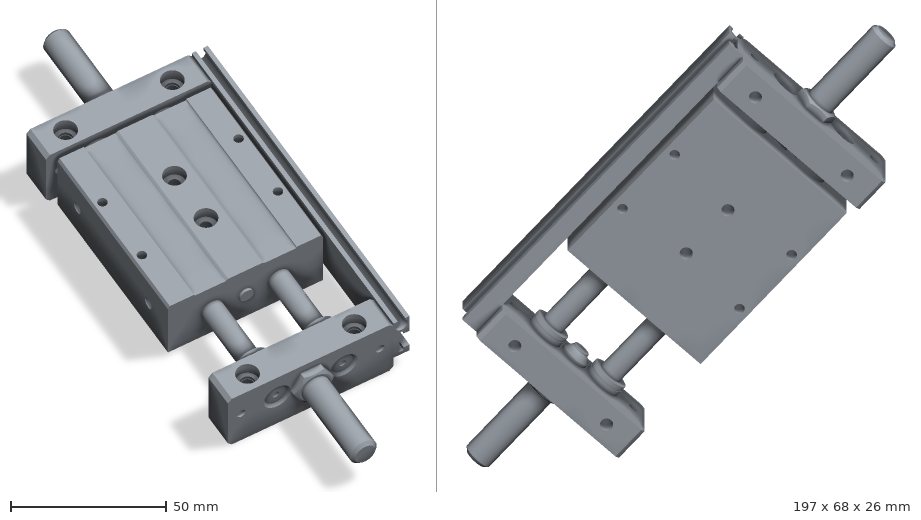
import cadquery as cq
import math


PLATE_OUTER_X = 63.9
PLATE_THICKNESS = 12.4
PLATE_INNER_X = PLATE_OUTER_X - PLATE_THICKNESS
PLATE_CENTRE_X = (PLATE_OUTER_X + PLATE_INNER_X) / 2
PLATE_HALF_WIDTH = 31.0
PLATE_TOP_Z = 10.0
PLATE_BOTTOM_Z = -14.0
PLATE_CHAMFER = 1.5
PLATE_BOLT_Y = 20.0
PLATE_BOLT_DIA = 4.2
PLATE_BOLT_LEAD_DIA = 4.9
PLATE_BOLT_LEAD_DEPTH = 1.0
PLATE_SIDE_HOLE_Y = 26.0
PLATE_SIDE_HOLE_DIA = 3.3

COUNTERBORE_DIA = 8.0
COUNTERBORE_DEPTH = 4.5

ROD_Y = 12.5
ROD_DIA = 8.0
ROD_SEAT_DIA = 10.0
ROD_SEAT_DEPTH = (ROD_SEAT_DIA - ROD_DIA) / 2
ROD_CENTRE_HOLE_DIA = 2.5
ROD_CENTRE_HOLE_DEPTH = 4.0
COLLAR_DIA = 13.0
COLLAR_LENGTH = 4.0
COLLAR_GROOVE_DIA = 12.4
COLLAR_GROOVE_START = 1.8
COLLAR_GROOVE_WIDTH = 0.7

RAIL_OVERHANG = 0.1
RAIL_END_X = PLATE_OUTER_X + RAIL_OVERHANG
RAIL_DEPTH = 6.0
RAIL_INNER_Y = PLATE_HALF_WIDTH
RAIL_OUTER_Y = RAIL_INNER_Y + RAIL_DEPTH
RAIL_TOP_Z = PLATE_TOP_Z
RAIL_BOTTOM_Z = -8.0
RAIL_SLOT_RADIUS = 2.2
RAIL_SLOT_Y = RAIL_INNER_Y + RAIL_DEPTH / 2
RAIL_SLOT_CENTRE_Z = 7.0
RAIL_LIP_THICKNESS = 1.3
RAIL_SLOT_MOUTH = 2.8
RAIL_CHANNEL_TOP_Z = 2.3
RAIL_CHANNEL_BOTTOM_Z = -5.0
RAIL_CHANNEL_UNDERCUT = 1.4
RAIL_CHANNEL_LIP = 2.2
RAIL_WEB = 2.3

HOUSING_LENGTH = 70.0
HOUSING_LEFT_X = COLLAR_LENGTH - PLATE_INNER_X
HOUSING_RIGHT_X = HOUSING_LEFT_X + HOUSING_LENGTH
HOUSING_CENTRE_X = (HOUSING_LEFT_X + HOUSING_RIGHT_X) / 2
HOUSING_HALF_WIDTH = 29.0
HOUSING_TOP_Z = 12.0
HOUSING_BOTTOM_Z = -12.0
HOUSING_EDGE_DROP = 1.2
HOUSING_EDGE_INSET = 0.7
GROOVE_DEPTH = 0.6
GROOVE_OUTER_Y = 19.2
GROOVE_INNER_FLOOR_Y = 7.4
GROOVE_INNER_TOP_Y = 6.4
EDGE_HOLE_DIA = 3.4
EDGE_HOLE_PITCH = 25.0
EDGE_HOLE_Y = 25.5
CENTRE_BOLT_DIA = 4.2
CENTRE_BOLT_PITCH = 20.0
PORT_PITCH = 45.0
PORT_MOUTH_DIA = 4.2
PORT_DEPTH = 5.0
PORT_BORE_DIA = 2.0
PORT_BORE_DEPTH = 8.0
END_STUD_DIA = 5.0
END_STUD_LENGTH = 1.0

STOPPER_DIA = 10.0
STOPPER_OUTER_X = 98.5
STOPPER_END_CHAMFER = 1.2
STOPPER_SHOULDER = 1.1
STOPPER_TIP_DIA = 6.0
STOPPER_CONE_LENGTH = 2.3
STOPPER_TIP_X = PLATE_INNER_X - COLLAR_LENGTH
NUT_ACROSS_FLATS = 13.0
NUT_ACROSS_CORNERS = NUT_ACROSS_FLATS / math.cos(math.pi / 6)
NUT_THICKNESS = 3.0
NUT_BEVEL = 0.9
NUT_BEVEL_FACE_DIA = 12.0


def x_cylinder(diameter, start_x, end_x, y=0.0):
    """Cylinder along X at the height of the stopper axis."""
    return (
        cq.Workplane("YZ", origin=(start_x, y, 0))
        .circle(diameter / 2)
        .extrude(end_x - start_x)
    )


def x_cone(start_dia, end_dia, start_x, end_x, y=0.0):
    """Solid cone frustum along X."""
    base = cq.Vector(start_x, y, 0)
    axis = cq.Vector(1, 0, 0)
    cone = cq.Solid.makeCone(start_dia / 2, end_dia / 2, end_x - start_x, pnt=base, dir=axis)
    return cq.Workplane(cone)


def make_housing():
    edge_z = HOUSING_TOP_Z - HOUSING_EDGE_DROP
    edge_y = HOUSING_HALF_WIDTH - HOUSING_EDGE_INSET
    groove_z = HOUSING_TOP_Z - GROOVE_DEPTH
    half_body = (
        cq.Workplane("YZ", origin=(HOUSING_LEFT_X, 0, 0))
        .moveTo(0, HOUSING_BOTTOM_Z)
        .lineTo(HOUSING_HALF_WIDTH, HOUSING_BOTTOM_Z)
        .lineTo(HOUSING_HALF_WIDTH, edge_z)
        .lineTo(edge_y, HOUSING_TOP_Z)
        .lineTo(GROOVE_OUTER_Y, HOUSING_TOP_Z)
        .radiusArc((GROOVE_OUTER_Y - GROOVE_DEPTH, groove_z), GROOVE_DEPTH)
        .lineTo(GROOVE_INNER_FLOOR_Y, groove_z)
        .lineTo(GROOVE_INNER_TOP_Y, HOUSING_TOP_Z)
        .lineTo(0, HOUSING_TOP_Z)
        .close()
        .extrude(HOUSING_LENGTH)
    )
    body = half_body.union(half_body.mirror("XZ")).clean()

    top = cq.Workplane("XY", origin=(HOUSING_CENTRE_X, 0, HOUSING_TOP_Z))
    height = HOUSING_TOP_Z - HOUSING_BOTTOM_Z
    edge_holes = top.rarray(EDGE_HOLE_PITCH, 2 * EDGE_HOLE_Y, 2, 2).circle(EDGE_HOLE_DIA / 2).extrude(-height)
    bolt_points = top.rarray(CENTRE_BOLT_PITCH, 1, 2, 1)
    bolt_holes = bolt_points.circle(CENTRE_BOLT_DIA / 2).extrude(-height)
    counterbores = bolt_points.circle(COUNTERBORE_DIA / 2).extrude(-COUNTERBORE_DEPTH)
    body = body.cut(edge_holes).cut(bolt_holes).cut(counterbores)

    ports = cq.Workplane("XZ", origin=(HOUSING_CENTRE_X, -HOUSING_HALF_WIDTH, 0)).rarray(PORT_PITCH, 1, 2, 1)
    body = body.cut(ports.circle(PORT_MOUTH_DIA / 2).extrude(-PORT_DEPTH))
    body = body.cut(ports.circle(PORT_BORE_DIA / 2).extrude(-PORT_BORE_DEPTH))

    for rod_y in (-ROD_Y, ROD_Y):
        body = body.cut(x_cylinder(ROD_DIA, HOUSING_LEFT_X, HOUSING_RIGHT_X, rod_y))

    return body.union(x_cylinder(END_STUD_DIA, HOUSING_RIGHT_X, HOUSING_RIGHT_X + END_STUD_LENGTH))


def make_end_plate():
    """The +X end plate with its mounting holes."""
    height = PLATE_TOP_Z - PLATE_BOTTOM_Z
    plate = (
        cq.Workplane("XY", origin=(PLATE_CENTRE_X, 0, PLATE_BOTTOM_Z))
        .rect(PLATE_THICKNESS, 2 * PLATE_HALF_WIDTH)
        .extrude(height)
        .edges("|X")
        .chamfer(PLATE_CHAMFER)
    )
    bolts = cq.Workplane("XY", origin=(PLATE_CENTRE_X, 0, PLATE_TOP_Z)).rarray(1, 2 * PLATE_BOLT_Y, 1, 2)
    plate = plate.cut(bolts.circle(PLATE_BOLT_DIA / 2).extrude(-height))
    lead_bottom = COUNTERBORE_DEPTH + PLATE_BOLT_LEAD_DEPTH
    plate = plate.cut(bolts.circle(PLATE_BOLT_LEAD_DIA / 2).extrude(-lead_bottom))
    plate = plate.cut(bolts.circle(COUNTERBORE_DIA / 2).extrude(-COUNTERBORE_DEPTH))
    for hole_y in (-PLATE_SIDE_HOLE_Y, PLATE_SIDE_HOLE_Y):
        plate = plate.cut(x_cylinder(PLATE_SIDE_HOLE_DIA, PLATE_INNER_X, PLATE_OUTER_X, hole_y))
    return plate.cut(x_cylinder(STOPPER_DIA, PLATE_INNER_X, PLATE_OUTER_X))


def make_collar(rod_y):
    """Grooved bumper collar on the inner face of the +X plate."""
    groove_end_x = PLATE_INNER_X - COLLAR_GROOVE_START
    groove_start_x = groove_end_x - COLLAR_GROOVE_WIDTH
    collar = x_cylinder(COLLAR_DIA, PLATE_INNER_X - COLLAR_LENGTH, PLATE_INNER_X, rod_y)
    groove = x_cylinder(COLLAR_DIA, groove_start_x, groove_end_x, rod_y)
    groove_core = x_cylinder(COLLAR_GROOVE_DIA, groove_start_x, groove_end_x, rod_y)
    return collar.cut(groove.cut(groove_core))


def make_rod_seat(rod_y):
    """Cut that leaves a conical seat around the +X rod end, with a centre hole in the rod."""
    seat_x = PLATE_OUTER_X - ROD_SEAT_DEPTH
    cone = x_cone(ROD_DIA, ROD_SEAT_DIA, seat_x, PLATE_OUTER_X, rod_y)
    return cone.union(x_cylinder(ROD_CENTRE_HOLE_DIA, seat_x - ROD_CENTRE_HOLE_DEPTH, seat_x, rod_y))


def make_rail():
    slot_left_y = RAIL_SLOT_Y + RAIL_SLOT_RADIUS
    slot_right_y = RAIL_SLOT_Y - RAIL_SLOT_RADIUS
    mouth_left_y = RAIL_SLOT_Y + RAIL_SLOT_MOUTH / 2
    mouth_right_y = RAIL_SLOT_Y - RAIL_SLOT_MOUTH / 2
    slot_bottom_z = RAIL_SLOT_CENTRE_Z - RAIL_SLOT_RADIUS
    lip_z = RAIL_TOP_Z - RAIL_LIP_THICKNESS
    web_y = RAIL_INNER_Y + RAIL_WEB
    channel_lip_y = RAIL_OUTER_Y - RAIL_CHANNEL_LIP
    return (
        cq.Workplane("YZ", origin=(-RAIL_END_X, 0, 0))
        .moveTo(RAIL_INNER_Y, RAIL_BOTTOM_Z)
        .lineTo(RAIL_INNER_Y, RAIL_TOP_Z)
        .lineTo(mouth_right_y, RAIL_TOP_Z)
        .lineTo(mouth_right_y, lip_z)
        .lineTo(slot_right_y, lip_z)
        .lineTo(slot_right_y, RAIL_SLOT_CENTRE_Z)
        .threePointArc((RAIL_SLOT_Y, slot_bottom_z), (slot_left_y, RAIL_SLOT_CENTRE_Z))
        .lineTo(slot_left_y, lip_z)
        .lineTo(mouth_left_y, lip_z)
        .lineTo(mouth_left_y, RAIL_TOP_Z)
        .lineTo(RAIL_OUTER_Y, RAIL_TOP_Z)
        .lineTo(RAIL_OUTER_Y, RAIL_CHANNEL_TOP_Z)
        .lineTo(channel_lip_y, RAIL_CHANNEL_TOP_Z)
        .lineTo(channel_lip_y, RAIL_CHANNEL_TOP_Z + RAIL_CHANNEL_UNDERCUT)
        .lineTo(web_y, RAIL_CHANNEL_TOP_Z + RAIL_CHANNEL_UNDERCUT)
        .lineTo(web_y, RAIL_CHANNEL_BOTTOM_Z - RAIL_CHANNEL_UNDERCUT)
        .lineTo(channel_lip_y, RAIL_CHANNEL_BOTTOM_Z - RAIL_CHANNEL_UNDERCUT)
        .lineTo(channel_lip_y, RAIL_CHANNEL_BOTTOM_Z)
        .lineTo(RAIL_OUTER_Y, RAIL_CHANNEL_BOTTOM_Z)
        .lineTo(RAIL_OUTER_Y, RAIL_BOTTOM_Z)
        .close()
        .extrude(2 * RAIL_END_X)
    )


def make_frame():
    right_end = make_end_plate()
    for rod_y in (-ROD_Y, ROD_Y):
        right_end = right_end.union(make_collar(rod_y))
    frame = right_end.union(right_end.mirror("YZ")).union(make_rail())
    for rod_y in (-ROD_Y, ROD_Y):
        seat = make_rod_seat(rod_y)
        frame = frame.union(x_cylinder(ROD_DIA, -PLATE_OUTER_X, PLATE_OUTER_X, rod_y))
        frame = frame.cut(seat).cut(seat.mirror("YZ"))
    return frame


def make_stopper(turn):
    """Barrel, lock nut and coned tip, built at the +X end and turned about Z by the given angle."""
    cone_end_x = PLATE_INNER_X - STOPPER_SHOULDER
    cone_start_x = cone_end_x - STOPPER_CONE_LENGTH
    barrel = x_cylinder(STOPPER_DIA, cone_end_x, STOPPER_OUTER_X).faces(">X").chamfer(STOPPER_END_CHAMFER)
    cone = x_cone(STOPPER_TIP_DIA, STOPPER_DIA, cone_start_x, cone_end_x)
    tip = x_cylinder(STOPPER_TIP_DIA, STOPPER_TIP_X, cone_start_x)

    nut_outer_x = PLATE_OUTER_X + NUT_THICKNESS
    hexagon = (
        cq.Workplane("YZ", origin=(PLATE_OUTER_X, 0, 0))
        .polygon(6, NUT_ACROSS_CORNERS)
        .extrude(NUT_THICKNESS)
    )
    bevel_x = nut_outer_x - NUT_BEVEL
    bevel = x_cone(NUT_ACROSS_CORNERS, NUT_BEVEL_FACE_DIA, bevel_x, nut_outer_x)
    envelope = bevel.union(x_cylinder(NUT_ACROSS_CORNERS, PLATE_OUTER_X, bevel_x))
    nut = hexagon.intersect(envelope)
    stopper = barrel.union(cone).union(tip).union(nut)
    return stopper.rotate((0, 0, 0), (0, 0, 1), turn)


housing = make_housing().solids()
frame = make_frame().solids()

stoppers = []
for stopper_turn in (0, 180):
    stoppers.append(make_stopper(stopper_turn).solids().val())

result = cq.Compound.makeCompound([housing.val(), frame.val(), *stoppers])